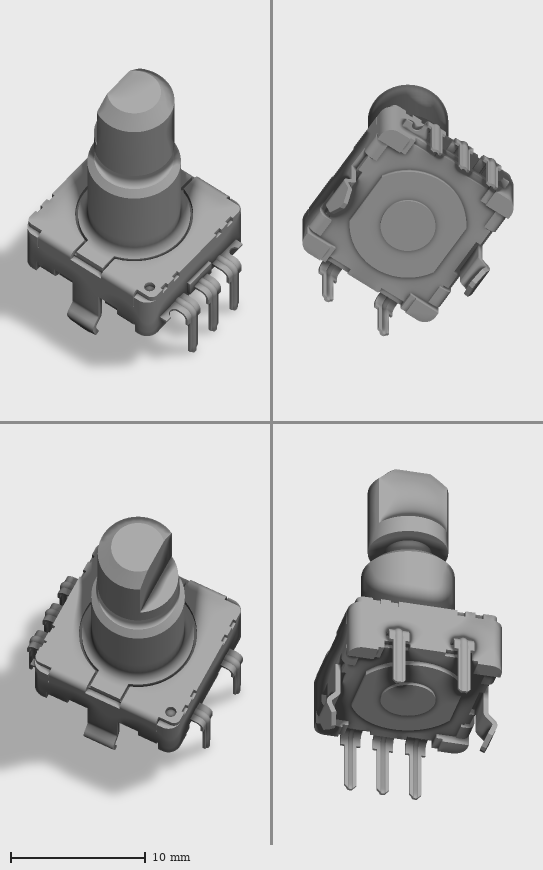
import cadquery as cq
import math


housing_x = 12.0
housing_y = 11.75
corner_radius = 1.0
plate_corner_radius = 0.5
housing_bottom = -4.55
base_bottom = -3.95
rim_bottom = -4.32
leg_inner_x = 4.65
rim_half_y = 3.85
opening_half_y = 3.38
disc_radius = 4.35
disc_half_y = 3.77
boss_radius = 2.05

sheet = 0.4
bend_radius = 0.45
cover_half_x = 4.46
gap = 0.07
gap_bottom = -1.65
window_x = 2.97
window_top = -3.08
relief_x = 1.52
relief_top = -3.45
relief_depth = 2 * sheet
claw_top = -3.63
claw_bottom = -4.19
claw_length = 1.04
claw_gap = 0.18

bushing_radius = 6.97 / 2
bushing_top = 7.0
bushing_chamfer = 0.5
bushing_fillet = 0.5
flange_radius = 4.19
strip_x = 2.45
groove = 0.2
lip_z = -0.65

shaft_radius = 6.0 / 2
shaft_tip_radius = 4.0 / 2
neck_radius = 3.5 / 2
shaft_bottom = 8.62
shaft_top = 15.0
shaft_chamfer = shaft_radius - shaft_tip_radius
flat_x = -1.5
flat_bottom = 9.98

pin_hole_diameter = 0.83
pin_hole_x = 5.08
pin_hole_y = 4.65
notch_y = 0.62
notch_depth = 0.23
notch_centers = (2.55, 3.93)

lowest_z = -8.0
terminal_y = 5.0 / 2
left_reach = 7.22
right_reach = 7.73
terminal_top = -2.85
terminal_sheet = 0.2
rib_height = 0.14
rib_width = 0.58
rib_back_width = 0.4
shoulder_width = 1.55
shoulder_bottom = -4.19
leg_width = 0.92
tip_width = 0.37
tip_height = 0.28
outer_bend = 0.8
terminal_root = 5.3
socket_top = -3.68
socket_inner_y = 1.38
socket_depth = 0.45

stub_x = 6.65
stub_y = 4.6
stub_notch_diameter = 0.8
stub_notch_y = 3.65
block_x = 6.28
block_y = 2.58
block_top = -2.23
block_bottom = -3.47

tab_width = 2.44
tab_knee_z = -5.55
tab_reach = 6.55
tab_outer_radius = 0.65
tab_upper_angle = 45
tab_lower_angle = 24
tab_knee_radius = 0.23
tab_point_length = 0.6
tab_point_width = 0.45

half_x = housing_x / 2
half_y = housing_y / 2
step_y = half_y - bend_radius
slot_x = strip_x + 2 * groove


def block(x0, x1, y0, y1, z0, z1):
    """Box between two corners."""
    size = (x1 - x0, y1 - y0, z1 - z0)
    return cq.Workplane("XY").box(*size, centered=False).translate((x0, y0, z0))


def cylinder(radius, z0, z1):
    return cq.Workplane("XY").workplane(offset=z0).circle(radius).extrude(z1 - z0)


def mirrored(solid, plane):
    """The solid joined with its mirror image."""
    return solid.union(solid.mirror(plane))


def make_housing():
    rounded = cq.Workplane("XY").workplane(offset=housing_bottom).rect(housing_x, housing_y)
    body = rounded.extrude(-housing_bottom).edges("|Z").fillet(corner_radius)

    body = body.cut(block(-leg_inner_x, leg_inner_x, -half_y, half_y, housing_bottom, base_bottom))
    body = body.cut(block(-half_x, half_x, -rim_half_y, rim_half_y, housing_bottom, rim_bottom))
    body = body.cut(block(-half_x, half_x, -opening_half_y, opening_half_y, housing_bottom, base_bottom))
    disc = cylinder(disc_radius, rim_bottom, base_bottom)
    disc = disc.intersect(
        block(-disc_radius, disc_radius, -disc_half_y, disc_half_y, rim_bottom, base_bottom))
    body = body.union(disc).union(cylinder(boss_radius, housing_bottom, base_bottom))

    plate = cq.Workplane("XY").rect(housing_x, 2 * step_y).extrude(-bend_radius)
    plate = plate.edges("|Z").fillet(plate_corner_radius)
    plate = plate.union(block(-cover_half_x, cover_half_x, -half_y, half_y, -bend_radius, 0))
    body = body.cut(block(-half_x, half_x, -half_y, half_y, -bend_radius, 0).cut(plate))

    socket = block(half_x - socket_depth, half_x, socket_inner_y, opening_half_y, base_bottom, socket_top)
    return body.cut(mirrored(mirrored(socket, "XZ"), "YZ"))


def cover_cuts():
    """Material missing around the cover, on the -Y and +Y sides."""
    side_gap = block(cover_half_x, cover_half_x + gap, step_y, half_y, gap_bottom, 0)

    bend = block(-cover_half_x, cover_half_x, step_y, half_y, -bend_radius, 0)
    roll = cq.Workplane("YZ").center(step_y, -bend_radius).circle(bend_radius)
    bend = bend.cut(roll.extrude(cover_half_x, both=True))

    lip = block(-slot_x / 2, slot_x / 2, step_y, half_y, lip_z, 0)

    window = block(-window_x, window_x, half_y - sheet, half_y, base_bottom, window_top)
    relief = block(-relief_x, relief_x, half_y - relief_depth, half_y, base_bottom, relief_top)
    claw_side = block(cover_half_x, leg_inner_x, half_y - relief_depth, half_y, base_bottom, relief_top)
    claw_inner = block(window_x - claw_gap, window_x, half_y - relief_depth, half_y, base_bottom, claw_top)

    claw_space = block(window_x, cover_half_x, half_y - claw_length, half_y, base_bottom, claw_top)
    paired = side_gap.union(claw_space).union(claw_side).union(claw_inner)
    cuts = mirrored(paired, "YZ").union(bend).union(lip).union(window).union(relief)
    return mirrored(cuts, "XZ")


def make_claws():
    """Lower ends of the cover, rolled inward under the base."""
    claw = block(window_x, cover_half_x, half_y - claw_length, half_y, claw_bottom, claw_top)
    roll_radius = claw_top - claw_bottom
    outer = block(window_x, cover_half_x, half_y - roll_radius, half_y, claw_bottom, claw_top)
    roll = cq.Workplane("YZ").center(half_y - roll_radius, claw_top).circle(roll_radius)
    claw = claw.cut(outer.cut(roll.extrude(cover_half_x)))
    return mirrored(mirrored(claw, "XZ"), "YZ")


def flange_groove():
    """Groove that outlines the round flange and the strip across it."""
    outer = cylinder(flange_radius + groove, -bend_radius, 0)
    outer = outer.union(block(-slot_x / 2, slot_x / 2, -step_y, step_y, -bend_radius, 0))
    inner = cylinder(flange_radius, -bend_radius, 0)
    inner = inner.union(block(-strip_x / 2, strip_x / 2, -step_y, step_y, -bend_radius, 0))
    return outer.cut(inner)


def top_details():
    """Two round holes and the small notches on the X edges."""
    holes = cq.Workplane("XY").pushPoints([(-pin_hole_x, pin_hole_y), (pin_hole_x, -pin_hole_y)])
    cuts = holes.circle(pin_hole_diameter / 2).extrude(-bend_radius)
    for y in notch_centers:
        notch = block(half_x - notch_depth, half_x, y - notch_y / 2, y + notch_y / 2, -bend_radius, 0)
        cuts = cuts.union(mirrored(mirrored(notch, "XZ"), "YZ"))
    return cuts


def make_bushing_and_shaft():
    fillet_mid = bushing_fillet * (1 - math.sqrt(0.5))
    profile = (
        cq.Workplane("XZ")
        .moveTo(0, -bend_radius)
        .lineTo(bushing_radius + bushing_fillet, -bend_radius)
        .lineTo(bushing_radius + bushing_fillet, 0)
        .threePointArc((bushing_radius + fillet_mid, fillet_mid), (bushing_radius, bushing_fillet))
        .lineTo(bushing_radius, bushing_top - bushing_chamfer)
        .lineTo(bushing_radius - bushing_chamfer, bushing_top)
        .lineTo(neck_radius, bushing_top)
        .lineTo(neck_radius, shaft_bottom)
        .lineTo(shaft_radius, shaft_bottom)
        .lineTo(shaft_radius, shaft_top - shaft_chamfer)
        .lineTo(shaft_tip_radius, shaft_top)
        .lineTo(0, shaft_top)
        .close()
    )
    turned = profile.revolve(360, (0, 0, 0), (0, 1, 0))
    return turned.cut(block(-shaft_radius, flat_x, -shaft_radius, shaft_radius, flat_bottom, shaft_top))


def bent_path(reach, inset):
    """Path out along +X, then down, at a given depth inside the outermost face."""
    bend = outer_bend - inset
    center_x = reach - outer_bend
    center_z = terminal_top - outer_bend
    diagonal = bend * math.sqrt(0.5)
    return (
        cq.Workplane("XZ")
        .moveTo(terminal_root, center_z + bend)
        .lineTo(center_x, center_z + bend)
        .threePointArc((center_x + diagonal, center_z + diagonal), (center_x + bend, center_z))
        .lineTo(center_x + bend, lowest_z)
    )


def bent_rib(reach, inset, width):
    """Round-topped bar swept along the bent path, its flat side at the given depth."""
    base_z = terminal_top - inset
    section = (
        cq.Workplane("YZ", origin=(terminal_root, 0, 0))
        .moveTo(-width / 2, base_z)
        .threePointArc((0, base_z + rib_height), (width / 2, base_z))
        .close()
    )
    return section.sweep(bent_path(reach, inset))


def make_terminal(reach):
    """Bent terminal on the +X side at Y = 0, stiffened by an embossed rib."""
    section = cq.Workplane("YZ", origin=(terminal_root, 0, 0))
    section = section.center(0, terminal_top - rib_height - terminal_sheet / 2)
    strip = section.rect(shoulder_width, terminal_sheet)
    strip = strip.sweep(bent_path(reach, rib_height + terminal_sheet / 2))
    solid = strip.union(bent_rib(reach, rib_height, rib_width))
    solid = solid.cut(bent_rib(reach, rib_height + terminal_sheet, rib_back_width))

    outline = (
        cq.Workplane("YZ")
        .moveTo(0, 0)
        .lineTo(shoulder_width / 2, 0)
        .lineTo(shoulder_width / 2, shoulder_bottom)
        .lineTo(leg_width / 2, shoulder_bottom)
        .lineTo(leg_width / 2, lowest_z + tip_height)
        .lineTo(tip_width / 2, lowest_z)
        .lineTo(0, lowest_z)
        .close()
        .extrude(reach)
    )
    return solid.intersect(mirrored(outline, "XZ"))


def make_terminals():
    left = make_terminal(left_reach).mirror("YZ")
    right = make_terminal(right_reach)
    terminals = right
    for y in (-terminal_y, terminal_y):
        terminals = terminals.union(left.translate((0, y, 0))).union(right.translate((0, y, 0)))
    return terminals


def make_right_side_details():
    """Cut-off carrier stubs beside the outer terminals and the block behind the middle one."""
    sheet_top = terminal_top - rib_height
    sheet_bottom = sheet_top - terminal_sheet
    stub = block(terminal_root, stub_x, terminal_y, stub_y, sheet_bottom, sheet_top)
    notch = cylinder(stub_notch_diameter / 2, sheet_bottom, sheet_top)
    stubs = mirrored(stub.cut(notch.translate((stub_x, stub_notch_y, 0))), "XZ")
    return stubs.union(block(terminal_root, block_x, -block_y / 2, block_y / 2, block_bottom, block_top))


def round_edge(solid, y, z, radius):
    """Fillet on the edge along X that passes through the given point."""
    return solid.edges(cq.selectors.NearestToPointSelector((0, y, z))).fillet(radius)


def make_tab():
    """Mounting tab on the +Y side: straight, bent outward, then bent back to a blunt point."""
    upper = math.radians(tab_upper_angle)
    lower = math.radians(tab_lower_angle)
    lower_normal = (-math.cos(lower), math.sin(lower))
    half_turn = (upper + lower) / 2
    bisector = (-math.cos((upper - lower) / 2), -math.sin((upper - lower) / 2))

    center_y = tab_reach - tab_outer_radius
    apex_y = center_y - bisector[0] * tab_outer_radius / math.cos(half_turn)
    apex_z = tab_knee_z - (apex_y - half_y) / math.tan(upper)
    apex_in_y = apex_y + bisector[0] * sheet / math.cos(half_turn)
    apex_in_z = apex_z + bisector[1] * sheet / math.cos(half_turn)

    blade = (apex_z - lowest_z) / math.cos(lower)
    end_y = apex_y - blade * math.sin(lower)
    knee_in_z = tab_knee_z - sheet * math.tan(upper / 2)
    profile = (
        cq.Workplane("YZ")
        .moveTo(half_y, window_top)
        .lineTo(half_y, tab_knee_z)
        .lineTo(apex_y, apex_z)
        .lineTo(end_y, lowest_z)
        .lineTo(end_y + sheet * lower_normal[0], lowest_z + sheet * lower_normal[1])
        .lineTo(apex_in_y, apex_in_z)
        .lineTo(half_y - sheet, knee_in_z)
        .lineTo(half_y - sheet, window_top)
        .close()
    )
    tab = profile.extrude(tab_width / 2, both=True)

    tab = round_edge(tab, apex_y, apex_z, tab_outer_radius)
    tab = round_edge(tab, apex_in_y, apex_in_z, tab_outer_radius - sheet)
    tab = round_edge(tab, half_y, tab_knee_z, tab_knee_radius)
    tab = round_edge(tab, half_y - sheet, knee_in_z, tab_knee_radius + sheet)

    blade_plane = cq.Plane(
        origin=(0, end_y, lowest_z), xDir=(1, 0, 0), normal=(0, lower_normal[0], lower_normal[1]))
    trim = (
        cq.Workplane(blade_plane)
        .moveTo(tab_point_width / 2, 0)
        .lineTo(tab_width / 2, 0)
        .lineTo(tab_width / 2, tab_point_length)
        .close()
        .extrude(sheet)
    )
    return tab.cut(mirrored(trim, "YZ"))


housing = make_housing().cut(cover_cuts()).cut(flange_groove()).cut(top_details())
housing = housing.union(make_claws()).union(mirrored(make_tab(), "XZ"))
housing = housing.union(make_bushing_and_shaft())
result = housing.union(make_terminals()).union(make_right_side_details())